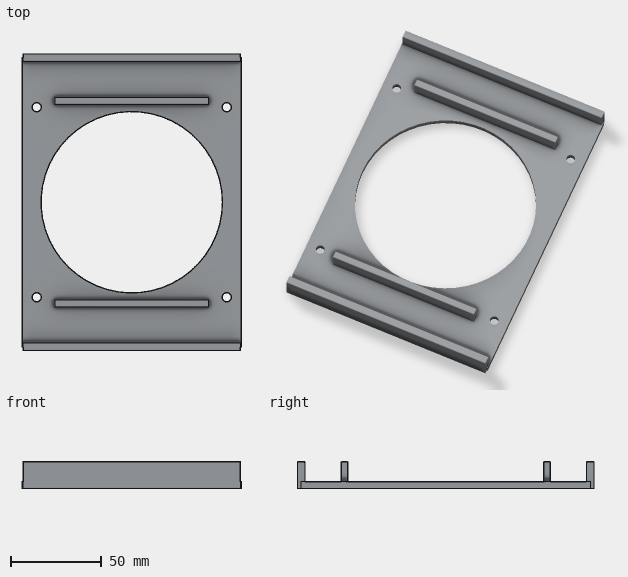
import cadquery as cq

overall_length = 164.0
overall_height = 15.0

plate_width = 121.0
plate_thickness = 4.0
wall_overhang = 2.0
plate_length = overall_length - 2 * wall_overhang

wall_width = 120.0
wall_thickness = 4.3

rib_length = 85.0
rib_thickness = 3.8
rib_spacing = 111.8

edge_radius = 0.5

bore_diameter = 100.0
hole_diameter = 5.0
hole_spacing = 105.0


def upright(length, thickness, y_center):
    """Bar along X rising from the underside of the plate to full height."""
    return (
        cq.Workplane("XY")
        .center(0, y_center)
        .box(length, thickness, overall_height, centered=(True, True, False))
        .edges(">Z and |X")
        .fillet(edge_radius)
    )


plate = cq.Workplane("XY").box(
    plate_width, plate_length, plate_thickness, centered=(True, True, False)
)

frame = plate
wall_y = (overall_length - wall_thickness) / 2
for side in (-1, 1):
    frame = frame.union(upright(wall_width, wall_thickness, side * wall_y))
    frame = frame.union(upright(rib_length, rib_thickness, side * rib_spacing / 2))

frame = frame.faces("<Y or >Y").edges("<Z").fillet(edge_radius)

bore = cq.Workplane("XY").circle(bore_diameter / 2).extrude(plate_thickness)
holes = (
    cq.Workplane("XY")
    .rect(hole_spacing, hole_spacing, forConstruction=True)
    .vertices()
    .circle(hole_diameter / 2)
    .extrude(plate_thickness)
)

result = frame.cut(bore).cut(holes)